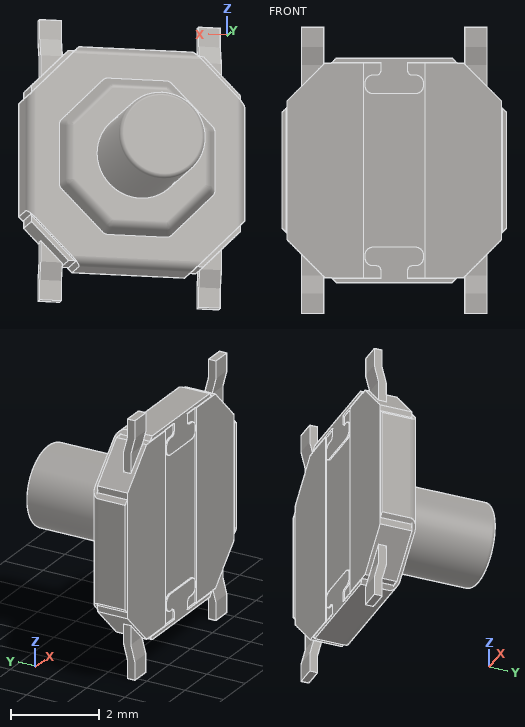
import cadquery as cq
import math


housing_half = 2.44
housing_corner = 0.865
channel_half_width = 0.7
channel_depth = 0.03

cover_size = 5.1
cover_half = cover_size / 2
cover_height = 0.9
sheet = 0.1
plate_sheet = 0.11
cover_flap_half = 1.31
cover_corner = cover_half - cover_flap_half
fold_radius = 0.2

tab_neck_half = 0.305
tab_head_half = 0.66
tab_head_inner = 1.74
tab_head_outer = 2.165
tab_head_round = 0.18
tab_neck_round = 0.1

dome_apothem = 1.815
dome_top = 1.195
dome_taper = 30
dome_sides = 8
dome_corner_round = 0.2
dome_top_round = 0.2

plunger_radius = 1.0
plunger_top = 3.5
plunger_round = 0.09

lead_span = 6.5
lead_tip = lead_span / 2
lead_center = 1.85
lead_width = 0.51
lead_thickness = 0.195
lead_lift = 0.105
lead_foot_start = 2.795
lead_bend_start = 2.39
lead_inner = 1.56


def block(x_half, y_from, y_to, z_half):
    """Box centred on the Y axis between two heights."""
    box = cq.Workplane("XY").box(2 * x_half, y_to - y_from, 2 * z_half)
    return box.translate((0, (y_from + y_to) / 2, 0))


def cut_corner_block(half, corner, y_from, y_to):
    """Square block along Y with its four corners cut at 45 degrees."""
    return block(half, y_from, y_to, half).edges("|Y").chamfer(corner)


def make_housing():
    body = cut_corner_block(housing_half, housing_corner, 0, cover_height - plate_sheet)
    return body.cut(block(channel_half_width, 0, channel_depth, housing_half))


def make_cover():
    outer = block(cover_half, 0, cover_height, cover_half)
    outer = outer.faces(">Y").edges().fillet(fold_radius)
    octagon = cut_corner_block(cover_half, cover_corner, 0, cover_height)
    inner_half = cover_half - sheet
    cavity = block(inner_half, 0, cover_height - plate_sheet, inner_half)
    return outer.intersect(octagon).cut(cavity)


def make_tab():
    """Upper locking tab, flush with the mounting face."""
    head_height = tab_head_outer - tab_head_inner
    head_center = (tab_head_outer + tab_head_inner) / 2
    head = block(tab_head_half, 0, channel_depth, head_height / 2).edges("|Y").fillet(tab_head_round)
    neck_height = cover_half - sheet / 2 - head_center
    neck = block(tab_neck_half, 0, channel_depth, neck_height / 2)
    head = head.translate((0, 0, head_center))
    neck = neck.translate((0, 0, head_center + neck_height / 2))
    tab = head.union(neck)
    corner_margin = 0.005
    throat = cq.selectors.BoxSelector(
        (-tab_neck_half - corner_margin, -channel_depth, tab_head_outer - corner_margin),
        (tab_neck_half + corner_margin, channel_depth, tab_head_outer + corner_margin),
    )
    return tab.edges("|Y").edges(throat).fillet(tab_neck_round)


def make_dome():
    height = dome_top - cover_height
    half_sector = 180 / dome_sides
    corner_diameter = 2 * dome_apothem / math.cos(math.radians(half_sector))
    dome = (
        cq.Workplane("ZX", origin=(0, cover_height, 0))
        .transformed(rotate=(0, 0, half_sector))
        .polygon(dome_sides, corner_diameter)
        .extrude(height, taper=dome_taper)
    )
    dome = dome.edges("not #Y").fillet(dome_corner_round)
    return dome.faces(">Y").edges().fillet(dome_top_round)


def make_plunger():
    plunger = (
        cq.Workplane("ZX", origin=(0, cover_height, 0))
        .circle(plunger_radius)
        .extrude(plunger_top - cover_height)
    )
    return plunger.faces(">Y").edges().fillet(plunger_round)


def make_lead():
    """Upper right lead: a strip with a joggle down to the mounting face."""
    front = [
        (0, lead_tip),
        (0, lead_foot_start),
        (lead_lift, lead_bend_start),
        (lead_lift, lead_inner),
    ]
    back = [(y + lead_thickness, z) for y, z in reversed(front)]
    strip = cq.Workplane("YZ").polyline(front + back).close().extrude(lead_width / 2, both=True)
    return strip.translate((lead_center, 0, 0))


result = make_housing().union(make_cover())
result = result.union(make_dome()).union(make_plunger())

tab = make_tab()
result = result.union(tab).union(tab.mirror("XY"))

lead = make_lead()
for upper_lead in (lead, lead.mirror("YZ")):
    result = result.union(upper_lead).union(upper_lead.mirror("XY"))